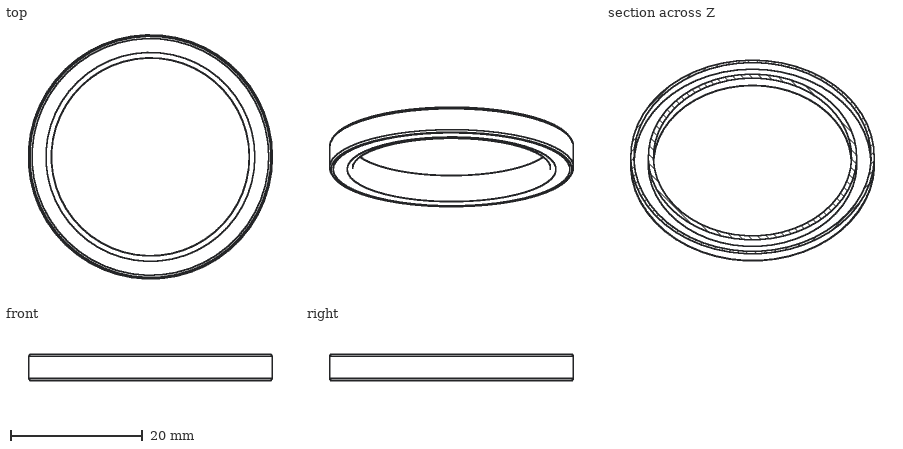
import cadquery as cq

outer_radius = 18.5
bore_radius = 15.0
width = 4.0
bore_fillet = 0.3
rim_chamfer_height = 0.35
rim_chamfer_depth = 0.22

inner_ring_radius = 15.85
outer_ring_inner_radius = 17.95

shield_thickness = 0.37
shield_recess = 0.05


def make_tube(outside_radius, inside_radius, height):
    """Plain tube centred on the origin."""
    return (
        cq.Workplane("XY")
        .workplane(offset=-height / 2)
        .circle(outside_radius)
        .circle(inside_radius)
        .extrude(height)
    )


def make_outer_ring():
    """Outer ring with a steep chamfer on both outside rims."""
    half_width = width / 2
    chamfer_start = half_width - rim_chamfer_height
    face_radius = outer_radius - rim_chamfer_depth
    profile = [
        (outer_ring_inner_radius, -half_width),
        (face_radius, -half_width),
        (outer_radius, -chamfer_start),
        (outer_radius, chamfer_start),
        (face_radius, half_width),
        (outer_ring_inner_radius, half_width),
    ]
    return cq.Workplane("XZ").polyline(profile).close().revolve(360, (0, 0, 0), (0, 1, 0))


def make_inner_ring():
    """Inner ring with both bore rims rounded."""
    ring = make_tube(inner_ring_radius, bore_radius, width)
    bore_rims = ring.edges(cq.selectors.RadiusNthSelector(0))
    return bore_rims.fillet(bore_fillet)


def make_shield(side):
    """Flat annular shield, on the top (side = 1) or the bottom (side = -1)."""
    shield = make_tube(outer_ring_inner_radius, inner_ring_radius, shield_thickness)
    centre_height = width / 2 - shield_recess - shield_thickness / 2
    return shield.translate((0, 0, side * centre_height))


outer_ring = make_outer_ring()
inner_ring = make_inner_ring()
shields = [make_shield(side) for side in (1, -1)]

result = cq.Compound.makeCompound(
    [outer_ring.val(), inner_ring.val(), *[shield.val() for shield in shields]]
)